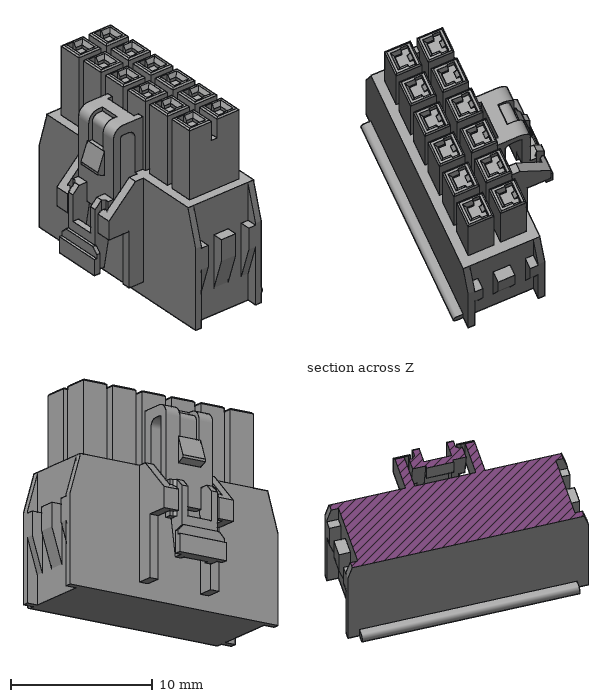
import cadquery as cq


BODY_WIDTH = 16.0
BODY_DEPTH = 5.95
BODY_HEIGHT = 9.83
FLANGE_SPAN = 17.7
FLANGE_THICKNESS = 0.52
FLANGE_SHOULDER_Z = 6.8
FLANGE_TOP_Z = 9.7
FRONT_Y = -BODY_DEPTH / 2
BACK_Y = BODY_DEPTH / 2

BEAD_REACH = 0.78
BEAD_HEIGHT = 0.71

STOP_BOTTOM_Z = 2.2
STOP_KNEE_Z = 4.85
STOP_TOP_Z = 6.66
CENTER_STOP_WIDTH = 1.3
CORNER_STOP_WIDTH = 0.62

COLUMNS = 6
ROWS = 2
PITCH = 2.5
TOWER_SIZE = 2.0
TOWER_TOP_Z = 15.7
TOWER_CHAMFER = 0.12
ROW_WEB_TOP_Z = 14.02
ROW_WEB_THICKNESS = 0.5

POCKET_DEPTH = 0.57
POCKET_FRONT = -0.68
POCKET_STEP = -0.11
POCKET_BACK = 0.69
POCKET_FRONT_WIDTH = 1.54
POCKET_BACK_WIDTH = 1.38
LEAD_IN_WIDTH = 0.23
LEAD_IN_DEPTH = 0.32
RAMP_WIDTH = 0.5
RAMP_SIZE = 0.27

RIB_INNER_X = 2.23
RIB_THICKNESS = 0.71
RIB_BOTTOM_Z = 1.17
RIB_TOP_Y = -3.69
RIB_FOOT_Y = -4.27
GUARD_FRONT_Y = -6.1
GUARD_BOTTOM_Z = 5.88
GUARD_SLOPE_Z = 7.45
HOOK_TIP_X = 1.72
HOOK_BACK_Y = -5.7
HOOK_CHAMFER = 0.22

LATCH_WIDTH = 3.96
LATCH_TOP_Z = 14.2
LATCH_ROOT_Y = -PITCH / 2 - TOWER_SIZE / 2
ARM_FRONT_Y = -4.92
ARM_THICKNESS = 0.65
ARM_SHOULDER_Z = 8.35
ARM_TONGUE_Z = 6.73
LOOP_ROOF_Z = 13.37
BEND_RADIUS = 0.9
LOOP_FRONT_RADIUS = 0.2
LOOP_BACK_RADIUS = 0.6
ROOT_NOTCH_WIDTH = 2.94
ROOT_NOTCH_DEPTH = 0.41
GROOVE_WIDTH = 1.63
GROOVE_DEPTH = 0.32
GROOVE_START_Y = -3.67

CATCH_WIDTH = 1.91
CATCH_TOP_Z = 11.84
CATCH_TIP_Y = -5.51
CATCH_TIP_TOP_Z = 10.3
CATCH_TIP_BOTTOM_Z = 10.1
CATCH_BOTTOM_Z = 9.85

CROSS_BOTTOM_Z = 5.64
CROSS_FRONT_Y = -5.41
CROSS_BEVEL = 0.21
RAIL_SPAN = 3.04
RAIL_FRONT_Y = -6.21
RAIL_TOP_FRONT_Y = -5.63
RAIL_SLOPE_Z = 7.77
BLOCK_BOTTOM_Z = 2.65
BLOCK_BOTTOM_BACK_Y = -5.39
ARM_BACK_Y = ARM_FRONT_Y + ARM_THICKNESS
BLOCK_BACK_TOP_Z = 8.98
WINDOW_WIDTH = 2.0
WINDOW_SILL_Z = 5.57
CHANNEL_FRONT_Y = -5.7
BAR_BACK_Y = -6.13
BAR_STEP_Y = -6.43
BAR_FRONT_Y = -6.655
BAR_STEP_Z = 4.0
BAR_TOP_Z = 4.79
BAR_CORNER = (LATCH_WIDTH - RAIL_SPAN) / 2


def box(x0, x1, y0, y1, z0, z1):
    """Box between two opposite corners."""
    return cq.Workplane("XY").box(x1 - x0, y1 - y0, z1 - z0, centered=False).translate((x0, y0, z0))


def side_prism(points, width, center_x=0):
    """Closed (y, z) outline extruded along X about center_x."""
    return cq.Workplane("YZ").polyline(points).close().extrude(width / 2, both=True).translate((center_x, 0, 0))


def mirrored_pair(shape):
    """The shape together with its mirror image across X = 0."""
    return shape.union(shape.mirror("YZ"))


def make_body():
    block = box(-BODY_WIDTH / 2, BODY_WIDTH / 2, FRONT_Y, BACK_Y, 0, BODY_HEIGHT)
    flange_outline = [
        (-FLANGE_SPAN / 2, 0),
        (FLANGE_SPAN / 2, 0),
        (FLANGE_SPAN / 2, FLANGE_SHOULDER_Z),
        (BODY_WIDTH / 2, FLANGE_TOP_Z),
        (-BODY_WIDTH / 2, FLANGE_TOP_Z),
        (-FLANGE_SPAN / 2, FLANGE_SHOULDER_Z),
    ]
    for back_face in (BACK_Y, FRONT_Y + FLANGE_THICKNESS):
        flange = cq.Workplane("XZ", origin=(0, back_face, 0)).polyline(flange_outline).close()
        block = block.union(flange.extrude(FLANGE_THICKNESS))
    return block


def make_bead():
    radius = BEAD_HEIGHT / 2
    arc_start_y = BACK_Y + BEAD_REACH - radius
    outline = (
        cq.Workplane("YZ")
        .moveTo(BACK_Y, 0)
        .lineTo(arc_start_y, 0)
        .threePointArc((BACK_Y + BEAD_REACH, radius), (arc_start_y, BEAD_HEIGHT))
        .lineTo(BACK_Y, BEAD_HEIGHT)
        .close()
    )
    return outline.extrude(BODY_WIDTH / 2, both=True)


def make_end_stops():
    outline = [
        (BODY_WIDTH / 2, STOP_BOTTOM_Z),
        (FLANGE_SPAN / 2, STOP_KNEE_Z),
        (FLANGE_SPAN / 2, STOP_TOP_Z),
        (BODY_WIDTH / 2, STOP_TOP_Z),
    ]
    corner_y = BODY_DEPTH / 2 - FLANGE_THICKNESS - CORNER_STOP_WIDTH / 2
    widths_by_y = {0: CENTER_STOP_WIDTH, corner_y: CORNER_STOP_WIDTH, -corner_y: CORNER_STOP_WIDTH}
    stops = cq.Workplane("XY")
    for center_y, width in widths_by_y.items():
        stop = cq.Workplane("XZ").polyline(outline).close().extrude(width / 2, both=True)
        stops = stops.add(stop.translate((0, center_y, 0)))
    return mirrored_pair(stops.combine())


def make_pocket():
    """Terminal opening, modelled about a tower centre with the tower top at Z = 0."""
    half_back = POCKET_BACK_WIDTH / 2
    half_front = POCKET_FRONT_WIDTH / 2
    half_throat = half_back - LEAD_IN_WIDTH
    front_part = box(-half_front, half_front, POCKET_FRONT, POCKET_STEP, -POCKET_DEPTH, 0)
    throat = box(-half_throat, half_throat, POCKET_STEP, POCKET_BACK - LEAD_IN_WIDTH, -POCKET_DEPTH, 0)
    funnel_length = 2 * (POCKET_BACK - POCKET_STEP)
    funnel = (
        cq.Workplane("XY", origin=(0, POCKET_STEP, 0))
        .rect(POCKET_BACK_WIDTH, funnel_length)
        .workplane(offset=-LEAD_IN_DEPTH)
        .rect(POCKET_BACK_WIDTH - 2 * LEAD_IN_WIDTH, funnel_length - 2 * LEAD_IN_WIDTH)
        .loft(combine=True)
    )
    back_half = box(-half_back, half_back, POCKET_STEP, POCKET_BACK, -LEAD_IN_DEPTH, 0)
    ramp = side_prism(
        [
            (POCKET_FRONT, -POCKET_DEPTH),
            (POCKET_FRONT + RAMP_SIZE, -POCKET_DEPTH),
            (POCKET_FRONT, -POCKET_DEPTH + RAMP_SIZE),
        ],
        RAMP_WIDTH,
    )
    return front_part.union(throat).union(funnel.intersect(back_half)).cut(ramp)


def make_towers():
    height = TOWER_TOP_Z - BODY_HEIGHT
    tower = (
        cq.Workplane("XY", origin=(0, 0, BODY_HEIGHT))
        .rect(TOWER_SIZE, TOWER_SIZE)
        .extrude(height)
        .faces(">Z")
        .chamfer(TOWER_CHAMFER)
        .cut(make_pocket().translate((0, 0, TOWER_TOP_Z)))
    )
    towers = cq.Workplane("XY")
    for column in range(COLUMNS):
        for row in range(ROWS):
            x = (column - (COLUMNS - 1) / 2) * PITCH
            y = (row - (ROWS - 1) / 2) * PITCH
            towers = towers.add(tower.translate((x, y, 0)))
    return towers.combine()


def make_row_web():
    """Web joining the two towers of the last column."""
    outer_x = (COLUMNS - 1) / 2 * PITCH + TOWER_SIZE / 2
    half_length = PITCH / 2 - TOWER_SIZE / 2
    return box(outer_x - ROW_WEB_THICKNESS, outer_x, -half_length, half_length, BODY_HEIGHT, ROW_WEB_TOP_Z)


def make_guard_ribs():
    outline = [
        (FRONT_Y, RIB_BOTTOM_Z),
        (RIB_FOOT_Y, RIB_BOTTOM_Z),
        (RIB_FOOT_Y, GUARD_BOTTOM_Z),
        (GUARD_FRONT_Y, GUARD_BOTTOM_Z),
        (GUARD_FRONT_Y, GUARD_SLOPE_Z),
        (RIB_TOP_Y, BODY_HEIGHT),
        (FRONT_Y, BODY_HEIGHT),
    ]
    outer_x = RIB_INNER_X + RIB_THICKNESS
    rib = side_prism(outline, RIB_THICKNESS, RIB_INNER_X + RIB_THICKNESS / 2)
    hook_plan = [
        (outer_x, GUARD_FRONT_Y),
        (HOOK_TIP_X, GUARD_FRONT_Y),
        (HOOK_TIP_X, HOOK_BACK_Y - HOOK_CHAMFER),
        (HOOK_TIP_X + HOOK_CHAMFER, HOOK_BACK_Y),
        (outer_x, HOOK_BACK_Y),
    ]
    hook = cq.Workplane("XY").polyline(hook_plan).close().extrude(BODY_HEIGHT)
    hook = hook.intersect(side_prism(outline, 2 * outer_x))
    return mirrored_pair(rib.union(hook))


def make_arm():
    """Root column, bend and arm as one hooked strip."""
    half = LATCH_WIDTH / 2
    arm = box(-half, half, ARM_FRONT_Y, LATCH_ROOT_Y, ARM_SHOULDER_Z, LATCH_TOP_Z)
    arm = arm.edges("|X and >Z and <Y").fillet(BEND_RADIUS)
    loop = box(-half, half, ARM_BACK_Y, FRONT_Y, ARM_SHOULDER_Z, LOOP_ROOF_Z)
    loop = loop.edges("|X and >Z and <Y").fillet(LOOP_FRONT_RADIUS)
    loop = loop.edges("|X and >Z and >Y").fillet(LOOP_BACK_RADIUS)
    notch_half = ROOT_NOTCH_WIDTH / 2
    notch_front_y = LATCH_ROOT_Y - ROOT_NOTCH_DEPTH
    notch = box(-notch_half, notch_half, notch_front_y, LATCH_ROOT_Y, BODY_HEIGHT, LATCH_TOP_Z)
    tongue_half = WINDOW_WIDTH / 2
    tongue = box(-tongue_half, tongue_half, ARM_FRONT_Y, ARM_BACK_Y, ARM_TONGUE_Z, ARM_SHOULDER_Z)
    return arm.cut(loop).cut(notch).cut(make_groove()).union(tongue)


def make_groove():
    """Shallow groove following the outside of the bend, down to the catch."""
    half = GROOVE_WIDTH / 2
    outer = box(-half, half, ARM_FRONT_Y, GROOVE_START_Y, CATCH_TOP_Z, LATCH_TOP_Z)
    floor_y = ARM_FRONT_Y + GROOVE_DEPTH
    floor_z = LATCH_TOP_Z - GROOVE_DEPTH
    inner = box(-half, half, floor_y, GROOVE_START_Y, CATCH_TOP_Z, floor_z)
    inner = inner.edges("|X and >Z and <Y").fillet(BEND_RADIUS - GROOVE_DEPTH)
    return outer.cut(inner)


def make_catch():
    outline = [
        (ARM_FRONT_Y, CATCH_TOP_Z),
        (CATCH_TIP_Y, CATCH_TIP_TOP_Z),
        (CATCH_TIP_Y, CATCH_TIP_BOTTOM_Z),
        (ARM_FRONT_Y, CATCH_BOTTOM_Z),
    ]
    return side_prism(outline, CATCH_WIDTH)


def make_latch_end():
    """Cross piece with two rails around a window, above the finger bar."""
    outline = [
        (BLOCK_BOTTOM_BACK_Y, BLOCK_BOTTOM_Z),
        (RAIL_FRONT_Y, BLOCK_BOTTOM_Z),
        (RAIL_FRONT_Y, RAIL_SLOPE_Z),
        (RAIL_TOP_FRONT_Y, ARM_SHOULDER_Z),
        (ARM_FRONT_Y, ARM_SHOULDER_Z),
        (ARM_FRONT_Y, BLOCK_BACK_TOP_Z),
        (ARM_BACK_Y, BLOCK_BACK_TOP_Z),
    ]
    block = side_prism(outline, RAIL_SPAN)
    half = LATCH_WIDTH / 2
    cross = box(-half, half, CROSS_FRONT_Y, ARM_BACK_Y, CROSS_BOTTOM_Z, ARM_SHOULDER_Z)
    cross = cross.union(make_rail_bevel())
    cross = cross.intersect(side_prism(outline, LATCH_WIDTH))
    window_half = WINDOW_WIDTH / 2
    window = box(-window_half, window_half, RAIL_FRONT_Y, ARM_FRONT_Y, WINDOW_SILL_Z, ARM_SHOULDER_Z)
    channel = box(-window_half, window_half, CHANNEL_FRONT_Y, ARM_BACK_Y, BLOCK_BOTTOM_Z, ARM_TONGUE_Z)
    return block.union(cross).cut(window).cut(channel).union(make_finger_bar())


def make_rail_bevel():
    """Bevelled transition from the cross piece to the narrower rails."""
    rail_half = RAIL_SPAN / 2
    bevel_half = rail_half + CROSS_BEVEL
    plan = [
        (-bevel_half, CROSS_FRONT_Y),
        (-rail_half, CROSS_FRONT_Y - CROSS_BEVEL),
        (rail_half, CROSS_FRONT_Y - CROSS_BEVEL),
        (bevel_half, CROSS_FRONT_Y),
    ]
    bevel = cq.Workplane("XY", origin=(0, 0, CROSS_BOTTOM_Z)).polyline(plan).close()
    return bevel.extrude(ARM_SHOULDER_Z - CROSS_BOTTOM_Z)


def make_finger_bar():
    outline = [
        (BAR_BACK_Y, BLOCK_BOTTOM_Z),
        (BAR_FRONT_Y, BLOCK_BOTTOM_Z),
        (BAR_FRONT_Y, BAR_STEP_Z),
        (BAR_STEP_Y, BAR_STEP_Z),
        (BAR_STEP_Y, BAR_TOP_Z),
        (BAR_BACK_Y, BAR_TOP_Z),
    ]
    bar = side_prism(outline, LATCH_WIDTH)
    return bar.faces(">Z").edges("|Y").chamfer(BAR_CORNER)


result = (
    make_body()
    .union(make_bead())
    .union(make_end_stops())
    .union(make_towers())
    .union(make_row_web())
    .union(make_guard_ribs())
    .union(make_arm())
    .union(make_latch_end())
    .union(make_catch())
)